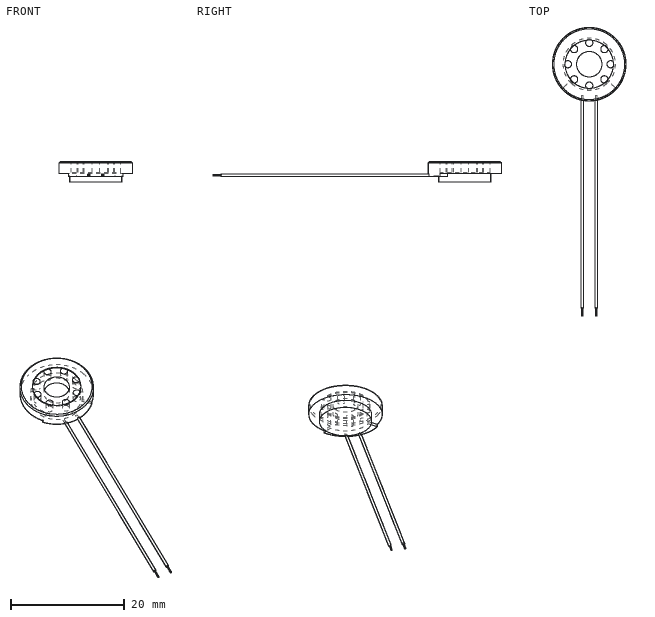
import cadquery as cq
import math

total_length = 51.0
total_height = 3.6

disc_diameter = 13.0
disc_thickness = 2.15
top_face_diameter = 12.5
top_chamfer_height = 0.25

boss_diameter = 9.25
sector_thickness = 0.45
sector_half_angle = 48.0

recess_diameter = 8.5
recess_depth = 0.2
center_hole_diameter = 4.5
center_hole_depth = 1.75
port_count = 8
port_diameter = 1.3
port_circle_radius = 3.75
port_depth = 1.75

wire_spacing = 2.45
insulation_diameter = 0.5
conductor_diameter = 0.235
bare_length = 1.5
wire_embedded_length = 1.0
wire_drop = 0.05

disc_radius = disc_diameter / 2
disc_bottom = total_height - disc_thickness
sector_bottom = disc_bottom - sector_thickness
recess_floor = total_height - recess_depth
wire_tip_y = disc_radius - total_length
wire_axis_z = sector_bottom + insulation_diameter / 2 - wire_drop


def cylinder(diameter, bottom, height):
    """Upright cylinder on the Z axis."""
    return cq.Workplane("XY").workplane(offset=bottom).circle(diameter / 2).extrude(height)


def housing_disc():
    """Chamfered disc whose lower layer remains only as a sector around the -Y direction."""
    chamfer_width = (disc_diameter - top_face_diameter) / 2
    body = cylinder(disc_diameter, sector_bottom, total_height - sector_bottom)
    body = body.faces(">Z").edges().chamfer(top_chamfer_height, chamfer_width)

    corner_radius = disc_diameter
    corner_x = corner_radius * math.sin(math.radians(sector_half_angle))
    corner_y = -corner_radius * math.cos(math.radians(sector_half_angle))
    clearance = (
        cq.Workplane("XY")
        .workplane(offset=sector_bottom)
        .moveTo(0, 0)
        .lineTo(-corner_x, corner_y)
        .threePointArc((0, corner_radius), (corner_x, corner_y))
        .close()
        .extrude(sector_thickness)
    )
    return body.cut(clearance)


def ports():
    """Ring of ports in the recess floor, reaching slightly under the rim of the recess."""
    return (
        cq.Workplane("XY")
        .workplane(offset=recess_floor - port_depth)
        .polarArray(port_circle_radius, 0, 360, port_count)
        .circle(port_diameter / 2)
        .extrude(port_depth)
    )


def rod(x, diameter, start_y, end_y):
    """Cylinder along -Y at the wire height."""
    return (
        cq.Workplane("XZ", origin=(x, start_y, wire_axis_z))
        .circle(diameter / 2)
        .extrude(start_y - end_y)
    )


def wire(x):
    """Insulated wire rooted in the housing, with a bare conductor at its tip."""
    start_y = wire_embedded_length - disc_radius
    insulation = rod(x, insulation_diameter, start_y, wire_tip_y + bare_length)
    conductor = rod(x, conductor_diameter, start_y, wire_tip_y)
    return insulation.union(conductor)


result = housing_disc().union(cylinder(boss_diameter, 0, disc_bottom))
result = result.cut(cylinder(recess_diameter, recess_floor, recess_depth))
result = result.cut(cylinder(center_hole_diameter, recess_floor - center_hole_depth, center_hole_depth))
result = result.cut(ports())
for side in (-1, 1):
    result = result.union(wire(side * wire_spacing / 2))